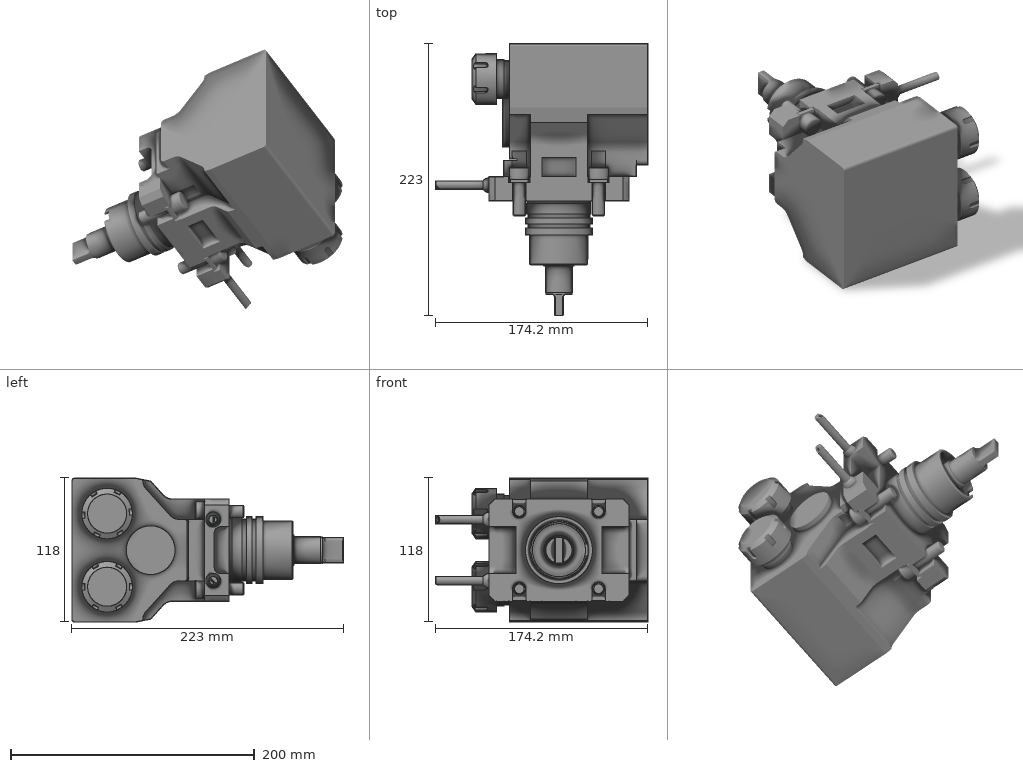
import cadquery as cq
import math


HOUSING_LEFT = -40.7
HOUSING_RIGHT = 73.0
LEFT_COVER_THICKNESS = 6.2
RIGHT_COVER_THICKNESS = 9.5
CORE_LEFT = HOUSING_LEFT + LEFT_COVER_THICKNESS
CORE_RIGHT = HOUSING_RIGHT - RIGHT_COVER_THICKNESS
BACK_Y = 129.0
BACK_CORNER_RADIUS = 2.5
HALF_HEIGHT = 59.0
BEVEL_START_Y = 76.3
BEVEL_ANGLE = math.radians(11.5)
SLOPE_ANGLE = math.radians(48)
BLEND_RADIUS = 10.0
FLANK_HALF_HEIGHT = 25.2
FLANK_BLEND_END_Y = 40.9
FLANK_HEAD_END_Y = 70.8
RIB_WIDTH = 46.5
RIB_HALF_HEIGHT = 42.0
RIB_BLEND_END_Y = 46.7
LEFT_COVER_END_Y = 34.4
LEFT_COVER_CORNER = 2.0
RIGHT_COVER_END_Y = 29.7
RIGHT_COVER_CORNER = 3.5
NECK_CORNER = 1.3
NECK_BLOCK_LEFT = -45.3
NECK_BLOCK_END_Y = 33.2

POCKET_WIDTH = 28.0
POCKET_END_Y = 35.6
POCKET_DEPTH = 6.4
POCKET_RADIUS = 6.3

FLANGE_WIDTH = 115.0
FLANGE_THICKNESS = 20.0
FLANGE_CHAMFER = 5.0
RECESS_LENGTH = 22.2
RECESS_HEIGHT = 38.5
RECESS_DEPTH = 12.2
RECESS_RADIUS = 5.5

SCREW_X = 32.5
SCREW_Z = 31.7
SCREW_DIAMETER = 10.0
SCREW_SLOT_WIDTH = 11.0
SCREW_TIP_Y = -12.4
SCREW_CHAMFER = 1.0
HEAD_DIAMETER = 16.0
HEAD_SEAT_Y = 17.8
HEAD_TOP_Y = 28.0
WASHER_WIDTH = 14.6
WASHER_TOP_Z = 41.4
SPOTFACE_DIAMETER = 17.4
SPOTFACE_Y = 15.0

SPIGOT_DIAMETER = 48.0
SHOULDER_DIAMETER = 53.0
GROOVE_DIAMETER = 50.8
RING_DIAMETER = 55.0
RELIEF_DIAMETER = 52.8
RELIEF_END_Y = -2.2
SHOULDER_END_Y = -10.8
RINGS_Y = [(-14.1, -18.8), (-22.1, -27.7)]
SPIGOT_END_Y = -52.6
SPIGOT_CHAMFER = 1.0
SPIGOT_BORE = 43.5
BORE_DEPTH = 8.0
BORE_NOTCH_WIDTH = 10.0
BORE_NOTCH_DEPTH = 5.0
BEARING_DIAMETER = 25.0
BEARING_END_Y = -53.4
BEARING_CHAMFER = 0.5
SHAFT_DIAMETER = 22.0
SHAFT_END_Y = -76.6
SHAFT_STEP_Y = -75.0
SHAFT_STEP_DIAMETER = 21.5
TANG_THICKNESS = 7.4
TANG_WIDTH = 21.0
TANG_TIP_Y = -94.0
TANG_CHAMFER = 0.8
TANG_FLAT_WIDTH = 15.4
TANG_ROOT_RADIUS = 2.0

CHUCK_Y = 100.0
CHUCK_Z = 30.0
NUT_DIAMETER = 41.5
NUT_FACE_DIAMETER = 32.0
NUT_FRONT_X = -71.4
NUT_CHAMFER_LENGTH = 3.3
NUT_BACK_X = -51.1
COLLAR_DIAMETER = 32.0
COLLAR_BACK_X = -44.9
SPINDLE_DIAMETER = 30.0
NUT_SLOT_COUNT = 6
NUT_SLOT_WIDTH = 5.0
NUT_SLOT_END_X = -58.3
NUT_SLOT_FLOOR_RADIUS = 18.2
UPPER_NUT_TURN = -4.0

CAP_DIAMETER = 40.0
CAP_Y = 64.3
CAP_LEFT = -46.1
NOZZLE_Y = 13.0
NOZZLE_Z = 25.1
NOZZLE_DIAMETER = 7.0
NOZZLE_TIP_X = -101.2
NOZZLE_BORE = 4.0
NOZZLE_BORE_DEPTH = 3.0
LOWER_NOZZLE_TURN = 135.0
DOME_DIAMETER = 12.2
DOME_HEIGHT = 4.6


def box(x_range, y_range, z_range):
    """Box spanning the given coordinate ranges."""
    size = [high - low for low, high in (x_range, y_range, z_range)]
    corner = (x_range[0], y_range[0], z_range[0])
    return cq.Workplane("XY").box(*size, centered=False).translate(corner)


def cylinder_x(diameter, x_start, x_end, y, z):
    """Cylinder along X."""
    plane = cq.Workplane("YZ", origin=(x_start, y, z))
    return plane.circle(diameter / 2).extrude(x_end - x_start)


def cylinder_y(diameter, y_start, y_end, x=0, z=0):
    """Cylinder along Y."""
    plane = cq.Workplane("XZ", origin=(x, y_start, z))
    return plane.circle(diameter / 2).extrude(y_start - y_end)


def mirrored_z(shape):
    """Shape united with its mirror image below the XY plane."""
    return shape.union(shape.mirror("XY"))


def bevel_height(y):
    """Height of the gently falling bevel at a given Y."""
    return HALF_HEIGHT - (BEVEL_START_Y - y) * math.tan(BEVEL_ANGLE)


def slope_base(blend_end_y, flat_height):
    """Middle and upper end of the blend between a flat and the slope above it."""
    def blend_point(angle):
        y = blend_end_y + BLEND_RADIUS * math.sin(angle)
        return y, flat_height + BLEND_RADIUS * (1 - math.cos(angle))

    return blend_point(SLOPE_ANGLE / 2), blend_point(SLOPE_ANGLE)


def back_profile():
    """Upper half outline from the mid-plane over the back to the bevel, in the YZ plane."""
    return (
        cq.Workplane("YZ")
        .moveTo(FLANGE_THICKNESS, 0)
        .lineTo(BACK_Y, 0)
        .lineTo(BACK_Y, HALF_HEIGHT - BACK_CORNER_RADIUS)
        .radiusArc((BACK_Y - BACK_CORNER_RADIUS, HALF_HEIGHT), -BACK_CORNER_RADIUS)
        .lineTo(BEVEL_START_Y, HALF_HEIGHT)
    )


def make_rib():
    """Middle of the housing, with the tall neck carrying the flange."""
    middle, top = slope_base(RIB_BLEND_END_Y, RIB_HALF_HEIGHT)
    slope = math.tan(SLOPE_ANGLE)
    fall = math.tan(BEVEL_ANGLE)
    edge_y = (HALF_HEIGHT - BEVEL_START_Y * fall - top[1] + top[0] * slope) / (slope - fall)
    upper = (
        back_profile()
        .lineTo(edge_y, bevel_height(edge_y))
        .lineTo(*top)
        .threePointArc(middle, (RIB_BLEND_END_Y, RIB_HALF_HEIGHT))
        .lineTo(FLANGE_THICKNESS, RIB_HALF_HEIGHT)
        .close()
        .extrude(RIB_WIDTH)
        .translate((-RIB_WIDTH / 2, 0, 0))
    )
    return mirrored_z(upper)


def make_flank(x_start, x_end, end_y, corner):
    """Housing slice beside the rib, ending at end_y with rounded neck corners."""
    middle, base = slope_base(FLANK_BLEND_END_Y, FLANK_HALF_HEIGHT)
    head_turn = math.pi / 2 - SLOPE_ANGLE
    head_start_y = FLANK_HEAD_END_Y - BLEND_RADIUS * (1 - math.cos(head_turn))
    head_start_z = base[1] + (head_start_y - base[0]) * math.tan(SLOPE_ANGLE)
    head_end_z = head_start_z + BLEND_RADIUS * math.sin(head_turn)
    upper = (
        back_profile()
        .lineTo(FLANK_HEAD_END_Y, bevel_height(FLANK_HEAD_END_Y))
        .lineTo(FLANK_HEAD_END_Y, head_end_z)
        .radiusArc((head_start_y, head_start_z), BLEND_RADIUS)
        .lineTo(*base)
        .threePointArc(middle, (FLANK_BLEND_END_Y, FLANK_HALF_HEIGHT))
        .lineTo(end_y + corner, FLANK_HALF_HEIGHT)
        .radiusArc((end_y, FLANK_HALF_HEIGHT - corner), -corner)
        .lineTo(end_y, 0)
        .close()
        .extrude(x_end - x_start)
        .translate((x_start, 0, 0))
    )
    return mirrored_z(upper)


def make_pocket():
    """Cutter for the round-bottomed pocket in the top and bottom of the rib."""
    floor_z = RIB_HALF_HEIGHT - POCKET_DEPTH
    half = POCKET_WIDTH / 2
    pocket = box((-half, half), (FLANGE_THICKNESS, POCKET_END_Y), (floor_z, HALF_HEIGHT))
    return mirrored_z(pocket.edges("|Y and <Z").fillet(POCKET_RADIUS))


def make_housing():
    """Housing with covers, neck, rib pockets and side cap."""
    neck_block = box(
        (NECK_BLOCK_LEFT, 0),
        (FLANGE_THICKNESS, NECK_BLOCK_END_Y),
        (-FLANK_HALF_HEIGHT, FLANK_HALF_HEIGHT),
    )
    return (
        make_rib()
        .union(make_flank(HOUSING_LEFT, CORE_LEFT, LEFT_COVER_END_Y, LEFT_COVER_CORNER))
        .union(make_flank(CORE_LEFT, CORE_RIGHT, FLANGE_THICKNESS, NECK_CORNER))
        .union(make_flank(CORE_RIGHT, HOUSING_RIGHT, RIGHT_COVER_END_Y, RIGHT_COVER_CORNER))
        .union(neck_block)
        .union(cylinder_x(CAP_DIAMETER, CAP_LEFT, HOUSING_LEFT, CAP_Y, 0))
        .cut(make_pocket())
    )


def make_flange():
    """Chamfered flange plate with a filleted recess in each end."""
    half = FLANGE_WIDTH / 2
    flange = box((-half, half), (0, FLANGE_THICKNESS), (-RIB_HALF_HEIGHT, RIB_HALF_HEIGHT))
    flange = flange.edges("|Y").chamfer(FLANGE_CHAMFER)
    for x_start in (-half, half - RECESS_LENGTH):
        recess = box(
            (x_start, x_start + RECESS_LENGTH),
            (0, RECESS_DEPTH),
            (-RECESS_HEIGHT / 2, RECESS_HEIGHT / 2),
        )
        flange = flange.cut(recess.edges("|X and >Y").fillet(RECESS_RADIUS))
    return flange


def u_shape(x, width, y_range, top_z):
    """Round-bottomed block around a screw axis, reaching up to top_z."""
    block = box((x - width / 2, x + width / 2), y_range, (SCREW_Z, top_z))
    return block.union(cylinder_y(width, *y_range, x, SCREW_Z))


def make_screw_clearance(x):
    """Open slot, spotface and head clearance for one screw on the upper edge."""
    spotface_range = (SPOTFACE_Y, FLANGE_THICKNESS)
    return (
        u_shape(x, SCREW_SLOT_WIDTH, (0, SPOTFACE_Y), RIB_HALF_HEIGHT)
        .union(u_shape(x, SPOTFACE_DIAMETER, spotface_range, RIB_HALF_HEIGHT))
        .union(cylinder_y(SPOTFACE_DIAMETER, FLANGE_THICKNESS, FLANK_BLEND_END_Y, x, SCREW_Z))
    )


def make_screw(x):
    """Cap screw with its U-shaped washer."""
    shank = cylinder_y(SCREW_DIAMETER, SCREW_TIP_Y, SPOTFACE_Y, x, SCREW_Z)
    head = cylinder_y(HEAD_DIAMETER, HEAD_SEAT_Y, HEAD_TOP_Y, x, SCREW_Z)
    washer = u_shape(x, WASHER_WIDTH, (SPOTFACE_Y, HEAD_SEAT_Y), WASHER_TOP_Z)
    shank = shank.faces("<Y").chamfer(SCREW_CHAMFER)
    head = head.faces(">Y").chamfer(SCREW_CHAMFER)
    return shank.union(washer).union(head)


def make_spigot():
    """Grooved spigot with an open end bore."""
    spigot = cylinder_y(SPIGOT_DIAMETER, SPIGOT_END_Y, 0).faces("<Y").chamfer(SPIGOT_CHAMFER)
    last_ring_end = RINGS_Y[-1][1]
    spigot = spigot.union(cylinder_y(GROOVE_DIAMETER, last_ring_end, 0))
    spigot = spigot.union(cylinder_y(SHOULDER_DIAMETER, SHOULDER_END_Y, RELIEF_END_Y))
    spigot = spigot.union(cylinder_y(RELIEF_DIAMETER, RELIEF_END_Y, 0))
    for ring_start, ring_end in RINGS_Y:
        spigot = spigot.union(cylinder_y(RING_DIAMETER, ring_end, ring_start))
    notch = box(
        (0, SPIGOT_DIAMETER),
        (SPIGOT_END_Y, SPIGOT_END_Y + BORE_NOTCH_DEPTH),
        (-BORE_NOTCH_WIDTH / 2, BORE_NOTCH_WIDTH / 2),
    )
    bore = cylinder_y(SPIGOT_BORE, SPIGOT_END_Y, SPIGOT_END_Y + BORE_DEPTH)
    return spigot.cut(bore).cut(notch)


def make_drive_shaft():
    """Stepped shaft ending in a flat driving tang."""
    bearing = cylinder_y(BEARING_DIAMETER, BEARING_END_Y, 0).faces("<Y").chamfer(BEARING_CHAMFER)
    shaft = cylinder_y(SHAFT_DIAMETER, SHAFT_STEP_Y, 0)
    shaft = shaft.union(cylinder_y(SHAFT_STEP_DIAMETER, SHAFT_END_Y, SHAFT_STEP_Y))
    half_tang = TANG_THICKNESS / 2
    root_x = half_tang + TANG_ROOT_RADIUS
    tang_half_outline = (
        cq.Workplane("XY", origin=(0, 0, -TANG_WIDTH / 2))
        .moveTo(0, SHAFT_END_Y)
        .lineTo(root_x, SHAFT_END_Y)
        .radiusArc((half_tang, SHAFT_END_Y - TANG_ROOT_RADIUS), -TANG_ROOT_RADIUS)
        .lineTo(half_tang, TANG_TIP_Y + TANG_CHAMFER)
        .lineTo(half_tang - TANG_CHAMFER, TANG_TIP_Y)
        .lineTo(0, TANG_TIP_Y)
        .close()
    )
    tang_half = tang_half_outline.extrude(TANG_WIDTH)
    edge_bevel = (
        cq.Workplane("XZ", origin=(0, SHAFT_END_Y - TANG_ROOT_RADIUS, 0))
        .moveTo(half_tang, TANG_FLAT_WIDTH / 2)
        .lineTo(half_tang, TANG_WIDTH / 2)
        .lineTo(half_tang - TANG_CHAMFER, TANG_WIDTH / 2)
        .close()
        .extrude(-TANG_TIP_Y)
    )
    tang_half = tang_half.cut(mirrored_z(edge_bevel))
    tang = tang_half.union(tang_half.mirror("YZ"))
    tang = tang.intersect(cylinder_y(SHAFT_STEP_DIAMETER, TANG_TIP_Y, SHAFT_END_Y))
    return bearing.union(shaft).union(tang)


def make_chuck(z, turn):
    """Collet chuck: spindle nose, collar and slotted clamping nut."""
    nut_rim_x = NUT_FRONT_X + NUT_CHAMFER_LENGTH
    nut = (
        cq.Workplane("XY")
        .moveTo(NUT_FRONT_X, 0)
        .lineTo(NUT_FRONT_X, NUT_FACE_DIAMETER / 2)
        .lineTo(nut_rim_x, NUT_DIAMETER / 2)
        .lineTo(NUT_BACK_X, NUT_DIAMETER / 2)
        .lineTo(NUT_BACK_X, 0)
        .close()
        .revolve(360, (0, 0, 0), (1, 0, 0))
    )
    slot_center_x = NUT_SLOT_END_X - NUT_SLOT_WIDTH / 2
    slot_length = slot_center_x - NUT_FRONT_X
    slot = (
        cq.Workplane("XZ", origin=(slot_center_x, -NUT_SLOT_FLOOR_RADIUS, 0))
        .circle(NUT_SLOT_WIDTH / 2)
        .extrude(NUT_DIAMETER)
        .union(
            cq.Workplane("XZ", origin=(slot_center_x - slot_length / 2, -NUT_SLOT_FLOOR_RADIUS, 0))
            .rect(slot_length, NUT_SLOT_WIDTH)
            .extrude(NUT_DIAMETER)
        )
    )
    for index in range(NUT_SLOT_COUNT):
        angle = turn + index * 360 / NUT_SLOT_COUNT
        nut = nut.cut(slot.rotate((0, 0, 0), (1, 0, 0), angle))
    nut = nut.translate((0, CHUCK_Y, z))
    collar = cylinder_x(COLLAR_DIAMETER, NUT_BACK_X, COLLAR_BACK_X, CHUCK_Y, z)
    spindle = cylinder_x(SPINDLE_DIAMETER, COLLAR_BACK_X, HOUSING_LEFT, CHUCK_Y, z)
    return nut.union(collar).union(spindle)


def make_nozzle(z, turn):
    """Coolant tube on a domed seat; half of its tip is bevelled at 45 degrees around the outlet."""
    flange_end_x = -FLANGE_WIDTH / 2
    base_radius = DOME_DIAMETER / 2
    tube_radius = NOZZLE_DIAMETER / 2
    dome = (
        cq.Workplane("XY")
        .lineTo(0, base_radius)
        .radiusArc((-DOME_HEIGHT, tube_radius), -base_radius)
        .lineTo(-DOME_HEIGHT, 0)
        .close()
        .revolve(360, (0, 0, 0), (1, 0, 0))
        .translate((flange_end_x, 0, 0))
    )
    tube = cylinder_x(NOZZLE_DIAMETER, NOZZLE_TIP_X, flange_end_x, 0, 0)
    bevel = (
        cq.Workplane("XY", origin=(NOZZLE_TIP_X, 0, -tube_radius))
        .lineTo(tube_radius, -tube_radius)
        .lineTo(0, -tube_radius)
        .close()
        .extrude(NOZZLE_DIAMETER)
    )
    bevel_middle = (NOZZLE_TIP_X + tube_radius / 2, -tube_radius / 2, 0)
    outlet_plane = cq.Plane(origin=bevel_middle, xDir=(0, 0, 1), normal=(1, 1, 0))
    outlet = cq.Workplane(outlet_plane).circle(NOZZLE_BORE / 2).extrude(NOZZLE_BORE_DEPTH)
    nozzle = dome.union(tube).cut(bevel).cut(outlet)
    return nozzle.rotate((0, 0, 0), (1, 0, 0), turn).translate((0, NOZZLE_Y, z))


result = make_housing().union(make_flange())
for screw_x in (-SCREW_X, SCREW_X):
    result = result.cut(mirrored_z(make_screw_clearance(screw_x)))
    result = result.union(mirrored_z(make_screw(screw_x)))
result = result.union(make_spigot()).union(make_drive_shaft())
result = result.union(make_chuck(CHUCK_Z, UPPER_NUT_TURN)).union(make_chuck(-CHUCK_Z, 0))
result = result.union(make_nozzle(NOZZLE_Z, 0)).union(make_nozzle(-NOZZLE_Z, LOWER_NOZZLE_TURN))